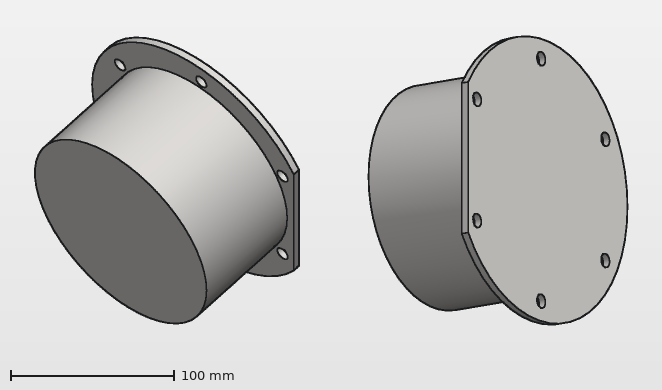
import cadquery as cq

flange_diameter = 177.7
flange_thickness = 5.0
flat_offset = 75.2
total_depth = 80.0
body_diameter = 139.7
hole_diameter = 8.5
hole_circle_diameter = 152.5
hole_count = 6
first_hole_angle = 30.0

flange_radius = flange_diameter / 2
body_length = total_depth - flange_thickness


def make_flange():
    """Round plate from y = 0 back to +Y, with one flat edge and a ring of holes."""
    disc = cq.Workplane("XZ").circle(flange_radius).extrude(-flange_thickness)
    keep_width = flange_radius + flat_offset
    keep_box = cq.Workplane("XY").box(
        keep_width, flange_thickness, flange_diameter, centered=(False, False, True)
    ).translate((-flange_radius, 0, 0))
    holes = (
        cq.Workplane("XZ")
        .polarArray(hole_circle_diameter / 2, first_hole_angle, 360, hole_count)
        .circle(hole_diameter / 2)
        .extrude(-flange_thickness)
    )
    return disc.intersect(keep_box).cut(holes)


def make_body():
    """Solid cylinder projecting from the flange toward -Y."""
    return cq.Workplane("XZ").circle(body_diameter / 2).extrude(body_length)


result = make_flange().union(make_body())